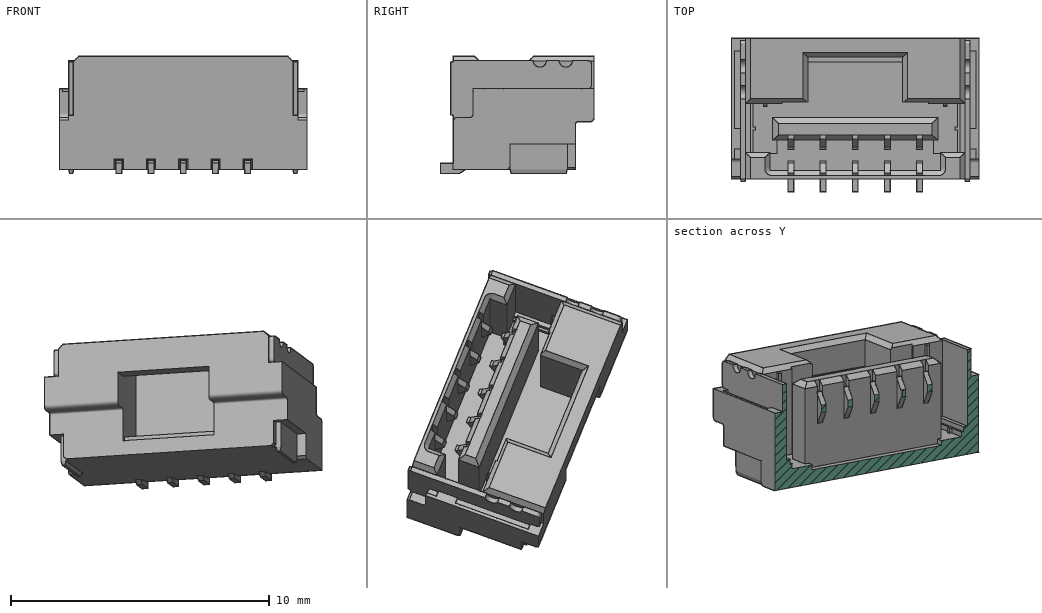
import cadquery as cq


WIDTH = 9.6
DEPTH = 5.46
HEIGHT = 4.4
CORE_WIDTH = 8.49
TOP_BEVEL = 0.19
SHOULDER_HEIGHT = 3.14
ROUND = 0.15

REAR_RELIEF_HEIGHT = 1.85
REAR_RELIEF_Y = 4.75

FLANGE_STEP_Y = 0.78
FLANGE_STEP_Z = 2.02
FLANGE_STEP_BEVEL = 0.1

GROOVE_OUTER_X = 4.68
GROOVE_DEPTH = 0.11
GROOVE_SPANS = ((FLANGE_STEP_Y, 1.16), (1.96, 4.97))

PLATE_THICKNESS = 0.2
PLATE_INNER_X = CORE_WIDTH / 2
PLATE_OUTER_X = PLATE_INNER_X + PLATE_THICKNESS
PLATE_TOP = 4.23
PLATE_REAR_Y = 5.37
PLATE_NOTCH_RADIUS = 0.26
PLATE_NOTCH_YS = (3.36, 4.37)
LIP_REACH = 0.1
LIP_BOTTOM = 2.1
LIP_TOP = 4.2

TAB_FRONT_Y = 2.21
TAB_REAR_Y = 4.43
TAB_TOP = 0.99
METAL_DROP = 0.15
METAL_TAPER = 16.0
TAB_RELIEF_BEVEL = 0.12
FOOT_BEVEL = 0.1

FLOOR = 0.77
FRONT_WALL = 0.33
RIM_BEVEL = 0.19
RIM_ANGLE = 45.0
POST_DEPTH = 1.03
MOUTH_WIDTH = 6.62
MOUTH_ROUND = 0.1
HOOD_FRONT_Y = 2.93
CONTACT_PIT_WIDTH = 6.05
CONTACT_PIT_Y = 1.0
CONTACT_PIT_FLOOR = 0.58
LEDGE_STEPS = ((4.06, 1.15), (3.96, 0.96))
LEDGE_NUB_X = 3.86
LEDGE_NUB_Y = 1.96
LEDGE_NUB_LENGTH = 0.12

WINDOW_WIDTH = 3.68
WINDOW_REAR_Y = 4.72
REAR_SILL_Y = 4.53
REAR_SILL_DROP = 0.19
HOOD_RECESS_WIDTH = 5.68
HOOD_RECESS_DEPTH = 0.07
RIB_X = 3.48
RIB_WIDTH = 0.13
RIB_REACH = 0.12
RIB_BEVEL = 0.06

TONGUE_WIDTH = 6.39
TONGUE_FRONT_Y = 1.52
TONGUE_REAR_Y = 2.38
TONGUE_TOP = 3.99
TONGUE_BEVEL_HEIGHT = 0.2
TONGUE_FRONT_BEVEL = 0.19
TONGUE_BEVEL = 0.23

CONTACT_COUNT = 5
CONTACT_PITCH = 1.25
CONTACT_WIDTH = 0.23
CONTACT_SLOT_Y = TONGUE_FRONT_Y + TONGUE_FRONT_BEVEL
RIM_SLOT_Y = FRONT_WALL - RIM_BEVEL
LEAD_REACH = 0.49
LEAD_TOP = 0.26
CONTACT_BASE_TOP = 0.36
CONTACT_BASE_Y = 0.1
LEAD_HEEL_Y = 0.24
LEAD_RISE_Y = 0.47
FRONT_PRONG_TIP = ((0.23, 3.46), (0.62, 3.17), (0.71, 2.98))
FRONT_PRONG_TOP = 3.36
TONGUE_PRONG_TIP = ((1.56, 3.55), (1.25, 3.09), (1.14, 3.03))
TONGUE_PRONG_TOP = 3.53
PRONG_THROAT = 2.3
LEAD_SLOT_WIDTH = 0.36
LEAD_SLOT_HEIGHT = 0.41
LEAD_SLOT_CLEARANCE = 0.02
LEAD_SLOT_DEPTH = 0.24


def box(x_span, y_span, z_span):
    """Axis-aligned block between two limits on each axis."""
    size = [span[1] - span[0] for span in (x_span, y_span, z_span)]
    start = (x_span[0], y_span[0], z_span[0])
    return cq.Workplane("XY").box(*size, centered=False).translate(start)


def centred(width):
    """Span of the given width about zero."""
    return (-width / 2, width / 2)


def side_profile(points, x_span):
    """Prism along X from an outline of (Y, Z) points."""
    prism = cq.Workplane("YZ").polyline(points).close().extrude(x_span[1] - x_span[0])
    return prism.translate((x_span[0], 0, 0))


def both_sides(shape):
    """The shape together with its mirror image in X."""
    return shape.union(shape.mirror("YZ"))


def top_funnel(x_span, y_span, flare):
    """Bevel cutter that widens an opening towards the top of the housing."""
    x_mid = sum(x_span) / 2
    y_mid = sum(y_span) / 2
    width = x_span[1] - x_span[0]
    length = y_span[1] - y_span[0]
    return (
        cq.Workplane("XY", origin=(x_mid, y_mid, HEIGHT - flare))
        .rect(width, length)
        .workplane(offset=flare)
        .rect(width + 2 * flare, length + 2 * flare)
        .loft(ruled=True)
    )


def make_outer_body():
    core = box(centred(CORE_WIDTH), (0, DEPTH), (0, HEIGHT))
    core = core.faces(">Z").edges("|Y").chamfer(TOP_BEVEL)
    return core.union(box(centred(WIDTH), (0, DEPTH), (0, SHOULDER_HEIGHT)))


def cut_rear_relief(body):
    relief = box(centred(WIDTH), (REAR_RELIEF_Y, DEPTH), (0, REAR_RELIEF_HEIGHT))
    body = body.cut(relief)
    at_lip = cq.selectors.NearestToPointSelector((0, DEPTH, REAR_RELIEF_HEIGHT))
    body = body.edges(at_lip).fillet(ROUND)
    at_corner = cq.selectors.NearestToPointSelector((0, REAR_RELIEF_Y, REAR_RELIEF_HEIGHT))
    return body.edges(at_corner).fillet(ROUND / 2)


def make_flange_cuts():
    outside = (PLATE_OUTER_X, WIDTH / 2)
    step = box(outside, (0, FLANGE_STEP_Y), (FLANGE_STEP_Z, SHOULDER_HEIGHT))
    step = step.edges(">Y and <Z").fillet(ROUND)
    bevel = side_profile(
        [
            (0, FLANGE_STEP_Z),
            (FLANGE_STEP_BEVEL, FLANGE_STEP_Z),
            (0, FLANGE_STEP_Z - FLANGE_STEP_BEVEL),
        ],
        outside,
    )
    cuts = step.union(bevel)
    for y_span in GROOVE_SPANS:
        z_span = (SHOULDER_HEIGHT - GROOVE_DEPTH, SHOULDER_HEIGHT)
        cuts = cuts.union(box((PLATE_OUTER_X, GROOVE_OUTER_X), y_span, z_span))

    tab_relief = side_profile(
        [
            (TAB_FRONT_Y - TAB_RELIEF_BEVEL, 0),
            (TAB_FRONT_Y, TAB_RELIEF_BEVEL),
            (TAB_FRONT_Y, TAB_TOP),
            (REAR_RELIEF_Y, TAB_TOP),
            (REAR_RELIEF_Y, 0),
        ],
        (PLATE_INNER_X, WIDTH / 2),
    )
    foot_bevel = (
        cq.Workplane("XZ", origin=(0, TAB_REAR_Y, 0))
        .moveTo(PLATE_INNER_X, 0)
        .lineTo(PLATE_INNER_X - FOOT_BEVEL, 0)
        .lineTo(PLATE_INNER_X, FOOT_BEVEL)
        .close()
        .extrude(TAB_REAR_Y - REAR_RELIEF_Y)
    )
    return both_sides(cuts.union(tab_relief).union(foot_bevel))


def make_cavity():
    """Open space in front of the hood, with bevelled front rim and posts."""
    mouth_x = centred(MOUTH_WIDTH)
    chamber_x = centred(CORE_WIDTH)
    chamber_y = (POST_DEPTH, HOOD_FRONT_Y)
    mouth_y = (FRONT_WALL, HOOD_FRONT_Y)
    chamber = box(chamber_x, chamber_y, (FLOOR, HEIGHT))
    mouth = box(mouth_x, mouth_y, (FLOOR, HEIGHT)).edges("|Z and <Y").fillet(MOUTH_ROUND)
    mouth_outline = (
        cq.Sketch()
        .rect(MOUTH_WIDTH, HOOD_FRONT_Y - FRONT_WALL)
        .vertices("<Y")
        .fillet(MOUTH_ROUND)
    )
    mouth_funnel = (
        cq.Workplane("XY", origin=(0, sum(mouth_y) / 2, HEIGHT - RIM_BEVEL))
        .placeSketch(mouth_outline)
        .extrude(RIM_BEVEL, taper=-RIM_ANGLE)
    )
    chamber_funnel = top_funnel(chamber_x, chamber_y, TOP_BEVEL)
    cavity = chamber.union(mouth).union(mouth_funnel).union(chamber_funnel)
    pit = box(centred(CONTACT_PIT_WIDTH), (FRONT_WALL, TONGUE_FRONT_Y), (CONTACT_PIT_FLOOR, HEIGHT))
    pit_front = box(mouth_x, (FRONT_WALL, CONTACT_PIT_Y), (CONTACT_PIT_FLOOR, HEIGHT))
    return cavity.union(pit).union(pit_front)


def make_window():
    """Opening through the hood, passing out under the rear bridge."""
    window_x = centred(WINDOW_WIDTH)
    window_y = (HOOD_FRONT_Y, WINDOW_REAR_Y)
    window = box(window_x, window_y, (FLOOR, HEIGHT))
    rear_exit = box(window_x, (HOOD_FRONT_Y, DEPTH), (FLOOR, SHOULDER_HEIGHT))
    sill = box(window_x, (REAR_SILL_Y, DEPTH), (FLOOR - REAR_SILL_DROP, FLOOR))
    recess = box(
        centred(HOOD_RECESS_WIDTH),
        (HOOD_FRONT_Y, HOOD_FRONT_Y + HOOD_RECESS_DEPTH),
        (FLOOR, HEIGHT),
    )
    funnel = top_funnel(window_x, window_y, TOP_BEVEL)
    return window.union(rear_exit).union(sill).union(recess).union(funnel)


def make_cavity_details():
    """Guide ribs on the hood and stepped ledges beside the floor."""
    rib = box(
        (RIB_X - RIB_WIDTH / 2, RIB_X + RIB_WIDTH / 2),
        (HOOD_FRONT_Y - RIB_REACH, HOOD_FRONT_Y),
        (FLOOR, HEIGHT - TOP_BEVEL),
    )
    details = rib.faces("<Y").edges(">Z").chamfer(RIB_BEVEL)
    for inner_x, ledge_top in LEDGE_STEPS:
        ledge = box((inner_x, PLATE_INNER_X), (POST_DEPTH, HOOD_FRONT_Y), (FLOOR, ledge_top))
        details = details.union(ledge)
    last_ledge_x, last_ledge_top = LEDGE_STEPS[-1]
    nub_y = (LEDGE_NUB_Y - LEDGE_NUB_LENGTH / 2, LEDGE_NUB_Y + LEDGE_NUB_LENGTH / 2)
    nub = box((LEDGE_NUB_X, last_ledge_x), nub_y, (FLOOR, last_ledge_top))
    return both_sides(details.union(nub))


def make_tongue():
    shoulder = TONGUE_TOP - TONGUE_BEVEL_HEIGHT
    base_length = TONGUE_REAR_Y - TONGUE_FRONT_Y
    base_mid = (TONGUE_REAR_Y + TONGUE_FRONT_Y) / 2
    crest_length = base_length - TONGUE_FRONT_BEVEL - TONGUE_BEVEL
    crest_shift = (TONGUE_FRONT_BEVEL - TONGUE_BEVEL) / 2
    shank = box(
        centred(TONGUE_WIDTH), (TONGUE_FRONT_Y, TONGUE_REAR_Y), (CONTACT_PIT_FLOOR, shoulder)
    )
    crest = (
        cq.Workplane("XY", origin=(0, base_mid, shoulder))
        .rect(TONGUE_WIDTH, base_length)
        .workplane(offset=TONGUE_BEVEL_HEIGHT)
        .center(0, crest_shift)
        .rect(TONGUE_WIDTH - 2 * TONGUE_BEVEL, crest_length)
        .loft(ruled=True)
    )
    return shank.union(crest)


def make_side_plate():
    """Side plate on the +X side: upper wall, front leg, lip and solder tab."""
    plate_x = (PLATE_INNER_X, PLATE_OUTER_X)
    wall = box(plate_x, (0, PLATE_REAR_Y), (SHOULDER_HEIGHT, PLATE_TOP))
    wall = wall.faces(">Y").edges("|X").fillet(ROUND)
    notches = (
        cq.Workplane("YZ", origin=(PLATE_INNER_X, 0, 0))
        .pushPoints([(y, PLATE_TOP) for y in PLATE_NOTCH_YS])
        .circle(PLATE_NOTCH_RADIUS)
        .extrude(PLATE_THICKNESS)
    )
    leg = box(plate_x, (0, FLANGE_STEP_Y), (FLANGE_STEP_Z, SHOULDER_HEIGHT))
    plate_mid_x = sum(plate_x) / 2
    lip = (
        cq.Workplane("XZ", origin=(plate_mid_x, 0, (LIP_BOTTOM + LIP_TOP) / 2))
        .rect(PLATE_THICKNESS, LIP_TOP - LIP_BOTTOM)
        .extrude(LIP_REACH, taper=METAL_TAPER)
    )
    tab = box(plate_x, (TAB_FRONT_Y, TAB_REAR_Y), (0, TAB_TOP))
    tab_tip = (
        cq.Workplane("XY", origin=(plate_mid_x, (TAB_FRONT_Y + TAB_REAR_Y) / 2, 0))
        .rect(PLATE_THICKNESS, TAB_REAR_Y - TAB_FRONT_Y)
        .extrude(-METAL_DROP, taper=METAL_TAPER)
    )
    return wall.cut(notches).union(leg).union(lip).union(tab).union(tab_tip)


def make_contact_slots(x):
    """Channels for one contact in the tongue, the front rim and the front wall."""
    slot_x = (x - CONTACT_WIDTH / 2, x + CONTACT_WIDTH / 2)
    tongue_slot = box(slot_x, (TONGUE_FRONT_Y, CONTACT_SLOT_Y), (CONTACT_PIT_FLOOR, TONGUE_TOP))
    rim_slot = box(slot_x, (RIM_SLOT_Y, FRONT_WALL), (CONTACT_PIT_FLOOR, HEIGHT))
    inner_slot_width = CONTACT_WIDTH + 2 * LEAD_SLOT_CLEARANCE
    inner_slot_height = CONTACT_BASE_TOP + LEAD_SLOT_CLEARANCE
    lead_slot = (
        cq.Workplane("XZ", origin=(x, 0, LEAD_SLOT_HEIGHT / 2))
        .rect(LEAD_SLOT_WIDTH, LEAD_SLOT_HEIGHT)
        .workplane(offset=-LEAD_SLOT_DEPTH)
        .center(0, (inner_slot_height - LEAD_SLOT_HEIGHT) / 2)
        .rect(inner_slot_width, inner_slot_height)
        .loft(ruled=True)
    )
    return tongue_slot.union(rim_slot).union(lead_slot)


def make_contact(x):
    """Forked contact: solder lead, base, front prong and tongue prong."""
    contact_x = (x - CONTACT_WIDTH / 2, x + CONTACT_WIDTH / 2)
    base = side_profile(
        [
            (-LEAD_REACH, -METAL_DROP),
            (LEAD_HEEL_Y, -METAL_DROP),
            (LEAD_RISE_Y, 0),
            (CONTACT_SLOT_Y, 0),
            (CONTACT_SLOT_Y, CONTACT_PIT_FLOOR),
            (LEAD_SLOT_DEPTH, CONTACT_PIT_FLOOR),
            (LEAD_SLOT_DEPTH, CONTACT_BASE_TOP),
            (CONTACT_BASE_Y, CONTACT_BASE_TOP),
            (CONTACT_BASE_Y, LEAD_TOP),
            (-LEAD_REACH, LEAD_TOP),
        ],
        contact_x,
    )
    front_prong = side_profile(
        [
            (RIM_SLOT_Y, CONTACT_PIT_FLOOR),
            (RIM_SLOT_Y, FRONT_PRONG_TOP),
            *FRONT_PRONG_TIP,
            (FRONT_WALL, PRONG_THROAT),
            (FRONT_WALL, CONTACT_PIT_FLOOR),
        ],
        contact_x,
    )
    tongue_prong = side_profile(
        [
            (CONTACT_SLOT_Y, CONTACT_PIT_FLOOR),
            (CONTACT_SLOT_Y, TONGUE_PRONG_TOP),
            *TONGUE_PRONG_TIP,
            (TONGUE_FRONT_Y, PRONG_THROAT),
            (TONGUE_FRONT_Y, CONTACT_PIT_FLOOR),
        ],
        contact_x,
    )
    return base.union(front_prong).union(tongue_prong)


housing = cut_rear_relief(make_outer_body())
housing = housing.cut(make_flange_cuts()).cut(make_cavity()).cut(make_window())
housing = housing.union(make_cavity_details()).union(make_tongue())

result = housing.union(both_sides(make_side_plate()))

for index in range(CONTACT_COUNT):
    contact_x = (index - (CONTACT_COUNT - 1) / 2) * CONTACT_PITCH
    result = result.cut(make_contact_slots(contact_x)).union(make_contact(contact_x))